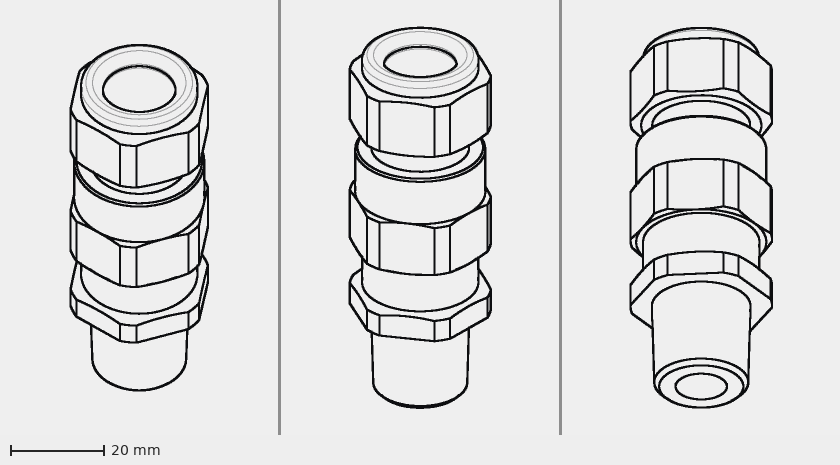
import cadquery as cq
import math


across_flats = 28.0
corner_radius = 15.25
chamfer_slope = math.tan(math.radians(20))

nut_bottom = 64.9
nut_hex_top = 78.0
nut_top = 82.4
nut_foot_radius = 12.9
collar_radius = 12.5
collar_round = 1.1
throat_radius = 7.8
mouth_radius = 10.05
mouth_depth = 1.9
throat_land = 0.6

coupling_bottom = 35.9
coupling_hex_top = 48.0
sleeve_radius = across_flats / 2
sleeve_top = 59.5
sleeve_chamfer = 0.5
spindle_radius = 10.55
spindle_top = nut_top - mouth_depth - throat_land
bore_radius = 7.75
bore_lead_in = 0.5
bore_seat_radius = 7.0

thread_tip_radius = 10.1
thread_root_radius = 10.6
thread_chamfer = 1.1
flange_bottom = 19.9
flange_hex_top = 25.0
shank_radius = 12.5
entry_bore_radius = 5.5
spigot_top = 40.05
spigot_chamfer = 0.5


def chamfer_rise(radius):
    """Height gained along the hexagon chamfer from the corners in to the given radius."""
    return (corner_radius - radius) * chamfer_slope


def turned(profile):
    """Solid of revolution about Z from a closed list of (radius, height) points."""
    return cq.Workplane("XZ").polyline(profile).close().revolve(360, (0, 0), (0, 1))


def hexagon(bottom, corner_top, foot_radius, head_radius):
    """Hexagon with corners on Y, chamfered to a cone at its ends.

    The lower cone starts at foot_radius and the upper cone ends at head_radius. A foot_radius
    equal to corner_radius leaves the lower end flat.
    """
    head_top = corner_top + chamfer_rise(head_radius)
    prism = (
        cq.Workplane("XY", origin=(0, 0, bottom))
        .polygon(6, across_flats / math.cos(math.pi / 6))
        .extrude(head_top - bottom)
        .rotate((0, 0, 0), (0, 0, 1), 30)
    )
    upper_end = [(corner_radius, corner_top), (head_radius, head_top), (0, head_top)]
    lower_end = [(0, bottom), (foot_radius, bottom)]
    if foot_radius < corner_radius:
        lower_end.append((corner_radius, bottom + chamfer_rise(foot_radius)))
    envelope = turned(lower_end + upper_end)
    return prism.intersect(envelope)


def cylinder(radius, bottom, top):
    return cq.Workplane("XY", origin=(0, 0, bottom)).circle(radius).extrude(top - bottom)


def nut_mouth():
    """Opening of the nut: a straight throat flaring in an arc tangent to the top face."""
    flare_width = mouth_radius - throat_radius
    flare_radius = (flare_width**2 + mouth_depth**2) / (2 * mouth_depth)
    half_sweep = math.atan2(mouth_depth, flare_width)
    flare_middle = (
        mouth_radius - flare_radius * math.sin(half_sweep),
        nut_top - flare_radius * (1 - math.cos(half_sweep)),
    )
    return (
        cq.Workplane("XZ")
        .moveTo(0, spindle_top)
        .lineTo(throat_radius, spindle_top)
        .lineTo(throat_radius, nut_top - mouth_depth)
        .threePointArc(flare_middle, (mouth_radius, nut_top))
        .lineTo(0, nut_top)
        .close()
        .revolve(360, (0, 0), (0, 1))
    )


def make_gland_nut():
    collar = cylinder(collar_radius, nut_bottom, nut_top).faces(">Z").edges().fillet(collar_round)
    body = hexagon(nut_bottom, nut_hex_top, nut_foot_radius, collar_radius).union(collar)
    body = body.cut(cylinder(spindle_radius, nut_bottom, spindle_top))
    return body.cut(nut_mouth())


def make_coupling():
    outside = hexagon(coupling_bottom, coupling_hex_top, sleeve_radius, sleeve_radius)
    sleeve = cylinder(sleeve_radius, coupling_bottom, sleeve_top)
    sleeve = sleeve.faces(">Z").edges().chamfer(sleeve_chamfer)
    spindle = cylinder(spindle_radius, coupling_bottom, spindle_top)
    bore = turned([
        (0, coupling_bottom),
        (bore_seat_radius, coupling_bottom),
        (bore_seat_radius, spigot_top),
        (bore_radius, sleeve_top),
        (bore_radius, spindle_top - bore_lead_in),
        (throat_radius, spindle_top),
        (0, spindle_top),
    ])
    return outside.union(sleeve).union(spindle).cut(bore)


def make_entry():
    thread = turned([
        (0, 0),
        (thread_tip_radius - thread_chamfer, 0),
        (thread_tip_radius, thread_chamfer),
        (thread_root_radius, flange_bottom),
        (0, flange_bottom),
    ])
    flange = hexagon(flange_bottom, flange_hex_top, corner_radius, shank_radius)
    shank = cylinder(shank_radius, flange_bottom, coupling_bottom)
    spigot = cylinder(bore_seat_radius, flange_bottom, spigot_top)
    body = thread.union(flange).union(shank).union(spigot)
    body = body.cut(cylinder(entry_bore_radius, 0, spigot_top))
    return body.faces(">Z").edges().chamfer(spigot_chamfer)


gland_nut = make_gland_nut()
coupling = make_coupling()
entry = make_entry()

result = cq.Compound.makeCompound([gland_nut.val(), coupling.val(), entry.val()])